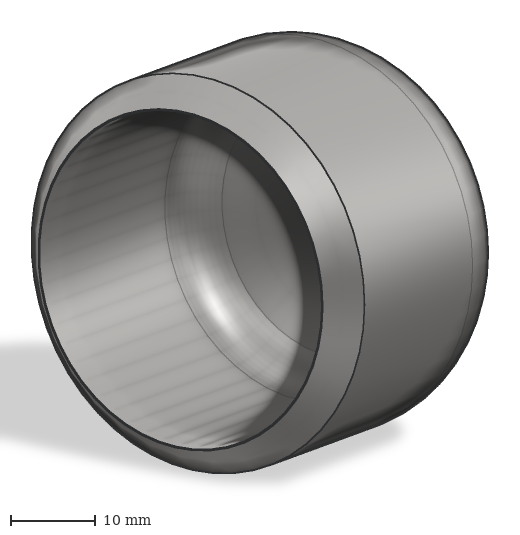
import cadquery as cq
import math

outer_radius = 24.15
total_length = 38.1
wall = 3.65
bevel = 3.55
skirt_length = 25.35
crown_radius = 48.3

dome_height = total_length - skirt_length
crown_center_y = total_length - crown_radius
center_offset = crown_radius - dome_height
knuckle_radius = (crown_radius**2 - outer_radius**2 - center_offset**2) / (2 * (crown_radius - outer_radius))
knuckle_center_x = outer_radius - knuckle_radius
crown_half_angle = math.asin(knuckle_center_x / (crown_radius - knuckle_radius))


def knuckle_point(inset, angle):
    """Point on the knuckle, inset from the outer surface, at an angle from the Y axis."""
    radius = knuckle_radius - inset
    return (
        knuckle_center_x + radius * math.sin(angle),
        skirt_length + radius * math.cos(angle),
    )


def crown_point(inset, angle):
    """Point on the crown, inset from the outer surface, at an angle from the Y axis."""
    radius = crown_radius - inset
    return (radius * math.sin(angle), crown_center_y + radius * math.cos(angle))


knuckle_mid_angle = (crown_half_angle + math.pi / 2) / 2
crown_mid_angle = crown_half_angle / 2
inner_radius = outer_radius - wall

profile = (
    cq.Workplane("XY")
    .moveTo(inner_radius, 0)
    .lineTo(outer_radius - bevel, 0)
    .lineTo(outer_radius, bevel)
    .lineTo(outer_radius, skirt_length)
    .threePointArc(knuckle_point(0, knuckle_mid_angle), knuckle_point(0, crown_half_angle))
    .threePointArc(crown_point(0, crown_mid_angle), (0, total_length))
    .lineTo(0, total_length - wall)
    .threePointArc(crown_point(wall, crown_mid_angle), crown_point(wall, crown_half_angle))
    .threePointArc(knuckle_point(wall, knuckle_mid_angle), (inner_radius, skirt_length))
    .close()
)

result = profile.revolve(360, (0, 0, 0), (0, 1, 0))